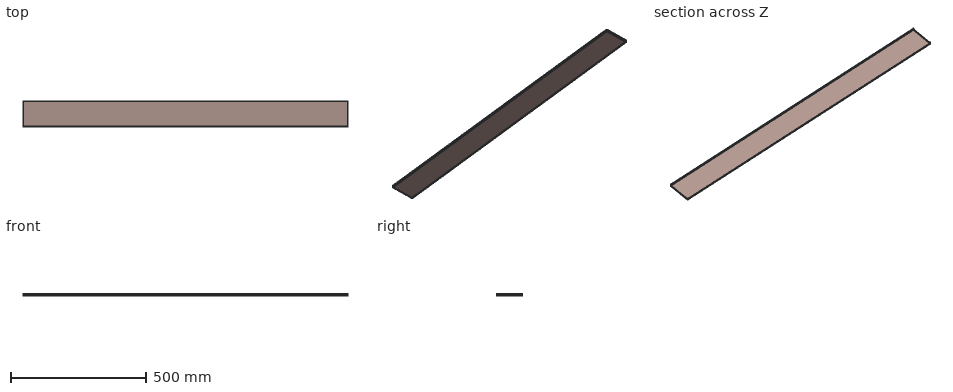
import cadquery as cq

length = 1200.0
width = 95.0
height = 8.0
wall = 1.0

bore_width = width - 2 * wall
bore_height = height - 2 * wall

outer_profile = cq.Workplane("YZ").rect(width, height)
tube = outer_profile.extrude(length / 2, both=True)

bore_profile = cq.Workplane("YZ").rect(bore_width, bore_height)
bore = bore_profile.extrude(length / 2, both=True)

result = tube.cut(bore)